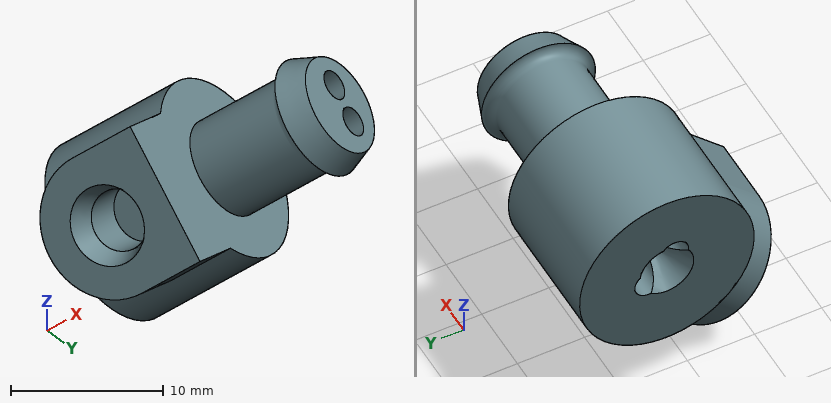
import cadquery as cq
import math

body_diameter = 13.0
body_length = 10.0
stem_diameter = 7.0
total_length = 20.0

barb_diameter = 8.5
barb_length = 2.0
barb_fillet = (barb_diameter - stem_diameter) / 2

boss_width = body_length
boss_reach = 8.5
boss_angle = 45.0

bore_diameter = 4.2
bore_depth = 5.0
bore_mouth_diameter = 5.5
bore_mouth_depth = 1.75

recess_diameter = 4.0
recess_depth = 2.8

passage_diameter = 2.1
passage_spacing = 2.7
passage_offset = 0.55


def make_turned_body():
    """Body, stem and barb turned about X, with a concave fillet behind the barb."""
    stem_radius = stem_diameter / 2
    barb_radius = barb_diameter / 2
    barb_start = total_length - barb_length
    fillet_start = barb_start - barb_fillet
    arc_middle = (
        fillet_start + barb_fillet * math.sin(math.pi / 4),
        barb_radius - barb_fillet * math.cos(math.pi / 4),
    )
    return (
        cq.Workplane("XY")
        .lineTo(0, body_diameter / 2)
        .lineTo(body_length, body_diameter / 2)
        .lineTo(body_length, stem_radius)
        .lineTo(fillet_start, stem_radius)
        .threePointArc(arc_middle, (barb_start, barb_radius))
        .lineTo(total_length, stem_radius)
        .lineTo(total_length, 0)
        .close()
        .revolve(360, (0, 0, 0), (1, 0, 0))
    )


def make_boss():
    """Round-ended block reaching down from the main axis."""
    radius = boss_width / 2
    return (
        cq.Workplane("XY")
        .moveTo(body_length, -radius)
        .lineTo(radius, -radius)
        .threePointArc((0, 0), (radius, radius))
        .lineTo(body_length, radius)
        .close()
        .extrude(-boss_reach)
    )


def make_boss_bore():
    """Bore and its tapered mouth, cut upward from the boss face."""
    face = cq.Workplane("XY", origin=(boss_width / 2, 0, -boss_reach))
    bore = face.circle(bore_diameter / 2).extrude(bore_depth)
    mouth = (
        face.circle(bore_mouth_diameter / 2)
        .workplane(offset=bore_mouth_depth)
        .circle(bore_diameter / 2)
        .loft()
    )
    return bore.union(mouth)


def make_recess():
    """Cone with its apex on the main axis."""
    cone = cq.Solid.makeCone(
        recess_diameter / 2, 0, recess_depth, cq.Vector(0, 0, 0), cq.Vector(1, 0, 0)
    )
    return cq.Workplane(obj=cone)


def make_passages():
    """Two holes side by side through the whole length."""
    half_spacing = passage_spacing / 2
    return (
        cq.Workplane("YZ")
        .pushPoints([(side * half_spacing, passage_offset) for side in (-1, 1)])
        .circle(passage_diameter / 2)
        .extrude(total_length)
    )


upright = (
    make_turned_body()
    .union(make_boss())
    .cut(make_boss_bore())
    .cut(make_recess())
    .cut(make_passages())
)
result = upright.rotate((0, 0, 0), (1, 0, 0), -boss_angle)